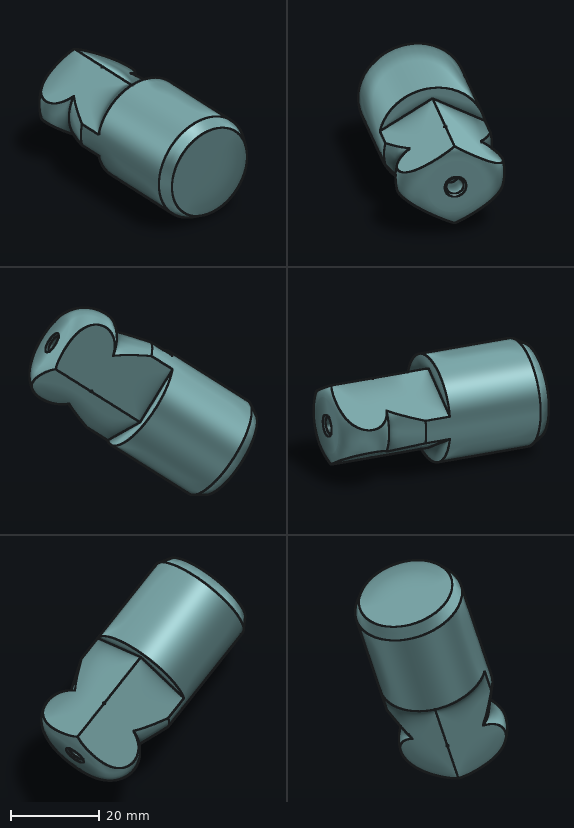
import cadquery as cq
import math

length = 50.0
body_radius = 12.5
shoulder_x = 25.0

chamfer_length = 2.75
chamfer_depth = chamfer_length * math.tan(math.radians(30))

head_round = 6.0
face_radius = body_radius - head_round
neck_x = 11.1
neck_radius = face_radius + math.sqrt(head_round**2 - (neck_x - head_round) ** 2)
taper_end_x = 19.0

flat_distance = 8.5
flat_slope = math.radians(30)
ridge_height = flat_distance / math.cos(flat_slope)
diamond_half_width = flat_distance / math.sin(flat_slope)

hole_mouth_radius = 2.5
hole_radius = 2.0
hole_countersink = 0.5
hole_depth = 6.0
hole_tip_depth = hole_depth + hole_radius / math.tan(math.radians(60))


def revolve_about_x(profile):
    """Turn a closed profile (X, radius) about the X axis."""
    return profile.close().revolve(360, (0, 0, 0), (1, 0, 0))


def turned_body():
    arc_angle = (math.pi / 2 + math.asin((neck_x - head_round) / head_round)) / 2
    arc_mid = (
        head_round - head_round * math.cos(arc_angle),
        face_radius + head_round * math.sin(arc_angle),
    )
    profile = (
        cq.Workplane("XY")
        .lineTo(0, face_radius)
        .threePointArc(arc_mid, (neck_x, neck_radius))
        .lineTo(taper_end_x, body_radius)
        .lineTo(length - chamfer_length, body_radius)
        .lineTo(length, body_radius - chamfer_depth)
        .lineTo(length, 0)
    )
    return revolve_about_x(profile)


def diamond_envelope():
    """Diamond bar up to the shoulder, full round body behind it."""
    diamond = (
        cq.Workplane("YZ")
        .polyline([
            (diamond_half_width, 0),
            (0, ridge_height),
            (-diamond_half_width, 0),
            (0, -ridge_height),
        ])
        .close()
        .extrude(shoulder_x)
    )
    rear = cq.Workplane("YZ", origin=(shoulder_x, 0, 0)).circle(body_radius).extrude(length - shoulder_x)
    return diamond.union(rear)


def centre_hole():
    profile = (
        cq.Workplane("XY")
        .lineTo(0, hole_mouth_radius)
        .lineTo(hole_countersink, hole_radius)
        .lineTo(hole_depth, hole_radius)
        .lineTo(hole_tip_depth, 0)
    )
    return revolve_about_x(profile)


result = turned_body().intersect(diamond_envelope()).cut(centre_hole())